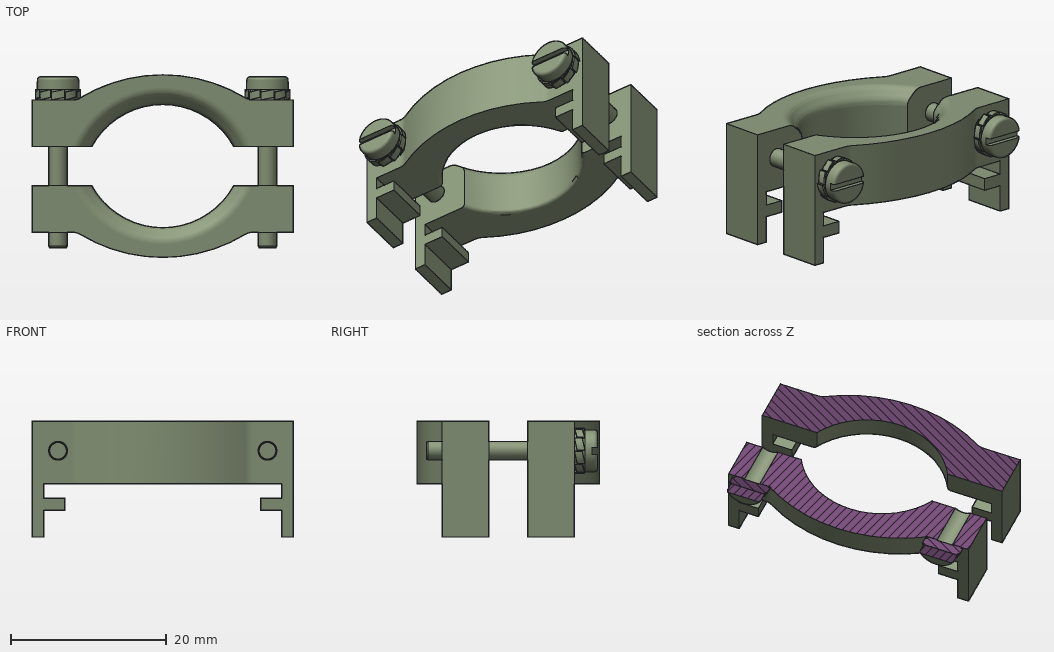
import cadquery as cq
import math


LENGTH = 33.5
EAR_THICKNESS = 6.0
GAP = 5.0
BODY_HEIGHT = 8.07
CROWN_Y = 11.72
OUTER_RADIUS = 20.4
OUTER_FILLET = 2.0
MATING_Y = GAP / 2
EAR_BACK_Y = MATING_Y + EAR_THICKNESS

BORE_RADIUS = 10.4
BORE_AXIS_Y = MATING_Y - GAP
CHAMFER_ANGLE = 45.0
BORE_CHAMFER = 1.5
CHAMFER_FILLET = 1.5
BOTTOM_FILLET = 0.5

LEG_THICKNESS = 1.5
TOTAL_HEIGHT = 14.9
TAB_LENGTH = 2.68
TAB_HEIGHT = 1.57
TAB_TOP_Z = -9.88

SCREW_X = 13.45
SCREW_Z = -3.82
SHANK_DIAMETER = 2.4
CLEARANCE_DIAMETER = 3.3
TIP_PROTRUSION = 2.0
TIP_CHAMFER_LENGTH = 0.25
TIP_CHAMFER_DEPTH = 0.15
HEAD_DIAMETER = 5.4
HEAD_HEIGHT = 1.65
HEAD_FILLET = 0.45
SLOT_WIDTH = 0.9
SLOT_DEPTH = 0.7

WASHER_HEIGHT = 1.35
WASHER_DIAMETER = 5.83
WASHER_CORE_DIAMETER = 5.35
TOOTH_COUNT = 10
TOOTH_WIDTH = 1.65
TOOTH_RISE = 0.35

SCREW_POSITIONS = (-SCREW_X, SCREW_X)


def cylinder_along_y(diameter, y_start, y_end, x):
    """Cylinder on a screw axis, from y_start to y_end."""
    axis_start = cq.Vector(x, y_start, SCREW_Z)
    return cq.Workplane(cq.Solid.makeCylinder(diameter / 2, y_end - y_start, axis_start, cq.Vector(0, 1, 0)))


def clamp_outline_body():
    """Ears and arched middle of the half at +Y, without bore and holes."""
    arc_centre_y = CROWN_Y - OUTER_RADIUS
    arc_end_x = math.sqrt(OUTER_RADIUS**2 - (EAR_BACK_Y - arc_centre_y) ** 2)
    body = (
        cq.Workplane("XY")
        .moveTo(-LENGTH / 2, MATING_Y)
        .lineTo(-LENGTH / 2, EAR_BACK_Y)
        .lineTo(-arc_end_x, EAR_BACK_Y)
        .threePointArc((0, CROWN_Y), (arc_end_x, EAR_BACK_Y))
        .lineTo(LENGTH / 2, EAR_BACK_Y)
        .lineTo(LENGTH / 2, MATING_Y)
        .close()
        .extrude(-BODY_HEIGHT)
    )
    for x in (-arc_end_x, arc_end_x):
        corner = cq.NearestToPointSelector((x, EAR_BACK_Y, -BODY_HEIGHT / 2))
        body = body.edges("|Z").edges(corner).fillet(OUTER_FILLET)
    return body


def bore_cutter():
    """Bore with a rounded 45 degree chamfer at the top and a fillet at the bottom."""
    setback = CHAMFER_FILLET * math.tan(math.radians(CHAMFER_ANGLE / 2))
    slope_setback = setback * math.cos(math.radians(CHAMFER_ANGLE))
    chamfer_radius = BORE_RADIUS + BORE_CHAMFER
    return (
        cq.Workplane("XZ")
        .lineTo(chamfer_radius + setback, 0)
        .radiusArc((chamfer_radius - slope_setback, -slope_setback), -CHAMFER_FILLET)
        .lineTo(BORE_RADIUS + slope_setback, slope_setback - BORE_CHAMFER)
        .radiusArc((BORE_RADIUS, -BORE_CHAMFER - setback), -CHAMFER_FILLET)
        .lineTo(BORE_RADIUS, BOTTOM_FILLET - BODY_HEIGHT)
        .radiusArc((BORE_RADIUS + BOTTOM_FILLET, -BODY_HEIGHT), -BOTTOM_FILLET)
        .lineTo(0, -BODY_HEIGHT)
        .close()
        .revolve(360, (0, 0), (0, 1))
        .translate((0, BORE_AXIS_Y, 0))
    )


def leg_with_tab():
    """Leg under the ear at -X with its tab pointing to the middle."""
    outer_x = -LENGTH / 2
    leg = (
        cq.Workplane("XY")
        .box(LEG_THICKNESS, EAR_THICKNESS, TOTAL_HEIGHT - BODY_HEIGHT, centered=False)
        .translate((outer_x, MATING_Y, -TOTAL_HEIGHT))
    )
    tab = (
        cq.Workplane("XY")
        .box(TAB_LENGTH, EAR_THICKNESS, TAB_HEIGHT, centered=False)
        .translate((outer_x + LEG_THICKNESS, MATING_Y, TAB_TOP_Z - TAB_HEIGHT))
    )
    return leg.union(tab)


def clamp_half(hole_diameter):
    """Clamp half at +Y with two screw holes of the given diameter."""
    leg = leg_with_tab()
    half = clamp_outline_body().cut(bore_cutter()).union(leg).union(leg.mirror("YZ"))
    for x in SCREW_POSITIONS:
        half = half.cut(cylinder_along_y(hole_diameter, MATING_Y, EAR_BACK_Y, x))
    return half


def head_side_half():
    """Half under the screw heads: clearance holes, and seats that make room for the washers."""
    half = clamp_half(CLEARANCE_DIAMETER)
    for x in SCREW_POSITIONS:
        half = half.cut(cylinder_along_y(WASHER_DIAMETER, EAR_BACK_Y, CROWN_Y, x))
    return half


def tapped_half():
    """Half that the screw ends go through, mirrored to -Y."""
    return clamp_half(SHANK_DIAMETER).mirror("XZ")


def screw(x):
    """Slotted cheese-head screw pointing to -Y."""
    tip_y = -EAR_BACK_Y - TIP_PROTRUSION
    head_base_y = EAR_BACK_Y + WASHER_HEIGHT
    head_top_y = head_base_y + HEAD_HEIGHT
    shank = (
        cylinder_along_y(SHANK_DIAMETER, tip_y, head_base_y, x)
        .faces("<Y")
        .chamfer(TIP_CHAMFER_LENGTH, TIP_CHAMFER_DEPTH)
    )
    head = cylinder_along_y(HEAD_DIAMETER, head_base_y, head_top_y, x).faces(">Y").edges().fillet(HEAD_FILLET)
    slot = cq.Workplane("XY").box(HEAD_DIAMETER, 2 * SLOT_DEPTH, SLOT_WIDTH).translate((x, head_top_y, SCREW_Z))
    return shank.union(head).cut(slot)


def lock_washer(x):
    """Ring with slanted teeth around its edge."""
    y_start = EAR_BACK_Y
    y_end = EAR_BACK_Y + WASHER_HEIGHT
    end_height = WASHER_HEIGHT - TOOTH_RISE
    tooth = (
        cq.Workplane("XY")
        .moveTo(x - TOOTH_WIDTH / 2, y_start)
        .lineTo(x + TOOTH_WIDTH / 2, y_start + TOOTH_RISE)
        .lineTo(x + TOOTH_WIDTH / 2, y_end)
        .lineTo(x - TOOTH_WIDTH / 2, y_start + end_height)
        .close()
        .extrude(WASHER_DIAMETER / 2)
        .translate((0, 0, SCREW_Z))
    )
    washer = cylinder_along_y(WASHER_CORE_DIAMETER, y_start, y_end, x)
    for i in range(TOOTH_COUNT):
        angle = i * 360 / TOOTH_COUNT
        washer = washer.union(tooth.rotate((x, 0, SCREW_Z), (x, 1, SCREW_Z), angle))
    washer = washer.intersect(cylinder_along_y(WASHER_DIAMETER, y_start, y_end, x))
    return washer.cut(cylinder_along_y(SHANK_DIAMETER, y_start, y_end, x))


bodies = [head_side_half().solids().val(), tapped_half().solids().val()]
for screw_x in SCREW_POSITIONS:
    bodies.append(screw(screw_x).solids().val())
    bodies.append(lock_washer(screw_x).solids().val())

result = cq.Compound.makeCompound(bodies)